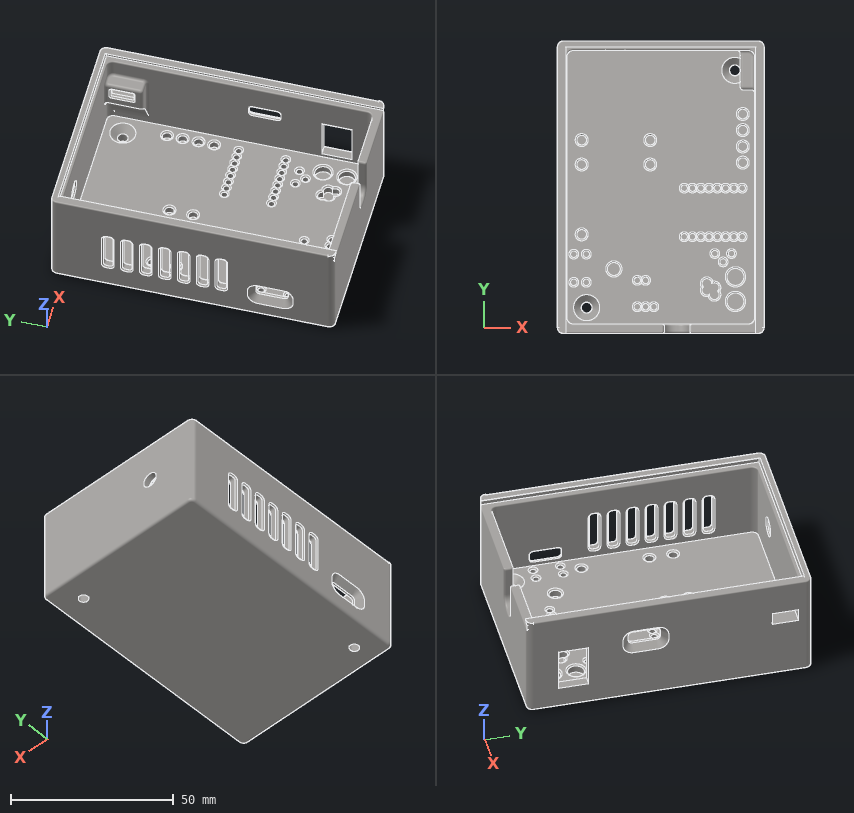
import cadquery as cq
import math

LENGTH = 90.0
WIDTH = 63.6
HEIGHT = 35.0
WALL = 3.0
FLOOR = 6.0
CORNER = 2.0
BASE_EDGE = 1.0
EDGE = 0.495

LEDGE_Z = 32.0
GROOVE_HALF = 30.7
GROOVE_SHOULDER = 33.5
GROOVE_MOUTH = 29.1
GROOVE_END = 43.1

NOTCH_X = 5.0
NOTCH_WIDTH = 7.8
NOTCH_BOTTOM = 18.2
NOTCH_RADIUS = 3.4
NOTCH_EDGE = 0.7

VENT_COUNT = 7
VENT_PITCH = 6.0
VENT_Y = 8.7
VENT_Z = 15.7
VENT_WIDTH = 3.0
VENT_HEIGHT = 14.0
VENT_RADIUS = 1.0

PORT_LENGTH = 10.2
PORT_HEIGHT = 4.2
PORT_RADIUS = 1.215
PORT_FLARE = 2.2
LEFT_PORT_Y, LEFT_PORT_Z = -24.75, 9.5
RIGHT_PORT_Y, RIGHT_PORT_Z = -7.6, 21.4

WINDOW_Y, WINDOW_LENGTH = -30.4, 9.5
WINDOW_Z, WINDOW_HEIGHT = 14.7, 14.4
JACK_X, JACK_Z = -13.95, 19.9
JACK_DIAMETER = 5.2

BOSS_FRONT = 29.9
BOSS_DEPTH = 4.455
BOSS_TOP = 25.7
BOSS_BOTTOM = 17.4
BOSS_FOOT = 8.1
BOSS_EDGE = 1.0

SLOT_Y, SLOT_Z = 36.5, 22.05
SLOT_LENGTH = 7.3
SLOT_HEIGHT = 3.2
SLOT_RADIUS = 0.3
SLOT_PLATE = 1.5
SLOT_GROWTH = 0.495

SCREW_HOLE = 3.2
SCREW_HEAD = 8.0
SCREW_POINTS = [(-22.8, -37.0), (22.8, 35.9)]
RECESS_DEPTH = 3.0
PIN_PITCH = 2.55

inner_x = WIDTH / 2 - WALL
inner_y = LENGTH / 2 - WALL


def pin_row(x, y, count):
    """Centres of a row of pins running along +X from (x, y)."""
    return [(x + i * PIN_PITCH, y) for i in range(count)]


def pin_grid(xs, ys):
    """Centres at every crossing of the given columns and rows."""
    return [(x, y) for x in xs for y in ys]


RECESSES = {
    2.0: (
        pin_row(7.2, -0.3, 8)
        + pin_row(7.2, -15.2, 8)
        + pin_row(-7.2, -28.6, 2)
        + pin_row(-7.2, -36.7, 3)
        + [(16.605, -20.385), (21.735, -20.385), (19.2, -22.95)]
        + pin_grid((-26.7, -22.9), (-20.565, -29.205))
    ),
    3.0: (
        pin_grid((25.2,), (22.5, 17.55, 12.5, 7.6))
        + pin_grid((-24.3, -3.2), (14.5, 6.975))
        + [(-24.3, -14.5)]
        + [(14.175, -29.565), (14.175, -31.635), (16.5, -30.825), (16.5, -33.0)]
    ),
    4.0: [(-14.4, -25.1)],
    5.2: pin_grid((22.95,), (-27.5, -35.1)),
}


def rounded_rect(length, height, radius):
    return cq.Sketch().rect(length, height).vertices().fillet(radius)


def flared_cut(plane, length, height, radius, depth, flare):
    """Rounded opening running along the plane normal, with a 45 degree flare at the plane."""
    throat = rounded_rect(length, height, radius)
    mouth = rounded_rect(length + 2 * flare, height + 2 * flare, radius + flare)
    flare_end = throat.moved(cq.Location((0, 0, flare)))
    bore = cq.Workplane(plane).placeSketch(throat).extrude(depth)
    return bore.union(cq.Workplane(plane).placeSketch(mouth, flare_end).loft())


def countersunk_cut(plane, diameter, depth, flare):
    """Round hole running along the plane normal, with a 45 degree countersink at the plane."""
    radius = diameter / 2
    half_section = [(0, 0), (radius + flare, 0), (radius, flare), (radius, depth), (0, depth)]
    hole = cq.Workplane("XZ").polyline(half_section).close().revolve(360, (0, 0), (0, 1))
    return cq.Workplane(obj=hole.val().moved(plane.location))


def left_wall(y, z):
    """Plane on the outer -X face, pointing into the case."""
    return cq.Plane((-WIDTH / 2, y, z), xDir=(0, 1, 0), normal=(1, 0, 0))


def right_wall(y, z):
    """Plane on the outer +X face, pointing into the case."""
    return cq.Plane((WIDTH / 2, y, z), xDir=(0, 1, 0), normal=(-1, 0, 0))


def floor_top(x, y):
    """Plane on the floor, pointing down into it."""
    return cq.Plane((x, y, FLOOR), xDir=(1, 0, 0), normal=(0, 0, -1))


def make_block():
    """Solid block; its rim is rounded all around except at the front corners, which stay sharp."""
    sharp = (
        cq.Workplane("XY").rect(WIDTH, LENGTH).extrude(HEIGHT)
        .edges("|Z").fillet(CORNER)
        .faces("<Z").edges().fillet(BASE_EDGE)
    )
    front_end = cq.Workplane("XY", origin=(0, -LENGTH / 2, 0)).rect(WIDTH, 2 * CORNER).extrude(HEIGHT)
    return sharp.faces(">Z").edges().fillet(EDGE).union(sharp.intersect(front_end))


def make_groove():
    """Dovetail space for the lid, open at the front and at the top."""
    right_side = [(GROOVE_HALF, LEDGE_Z), (GROOVE_HALF, GROOVE_SHOULDER), (GROOVE_MOUTH, HEIGHT)]
    left_side = [(-x, z) for x, z in reversed(right_side)]
    return (
        cq.Workplane("XZ", origin=(0, GROOVE_END, 0))
        .polyline(right_side + left_side).close()
        .extrude(GROOVE_END + LENGTH / 2)
    )


def make_cavity():
    return (
        cq.Workplane("XY", origin=(0, 0, FLOOR))
        .rect(2 * inner_x, 2 * inner_y).extrude(LEDGE_Z - FLOOR)
        .edges("|Z").fillet(CORNER)
    )


def round_ledge(case):
    """Round the ledge where it meets the cavity and the front face."""
    gap = 0.1
    bottom, top = LEDGE_Z - gap, LEDGE_Z + gap
    cavity_rim = cq.selectors.BoxSelector(
        (-inner_x - gap, -inner_y - gap, bottom), (inner_x + gap, inner_y + gap, top)
    )
    front_edge = cq.selectors.BoxSelector(
        (-WIDTH, -LENGTH / 2 - gap, bottom), (WIDTH, -LENGTH / 2 + gap, top)
    )
    return case.edges(cavity_rim + front_edge).fillet(EDGE)


def cut_notch(case):
    """U-shaped notch from the ledge downward, rounded along both faces of the front wall."""
    height = 2 * (LEDGE_Z - NOTCH_BOTTOM)
    plane = cq.Plane((NOTCH_X, -LENGTH / 2, LEDGE_Z), xDir=(1, 0, 0), normal=(0, 1, 0))
    notch = cq.Workplane(plane).placeSketch(rounded_rect(NOTCH_WIDTH, height, NOTCH_RADIUS)).extrude(WALL)
    case = case.cut(notch)
    reach = NOTCH_WIDTH / 2 + 0.1
    outline = cq.selectors.BoxSelector(
        (NOTCH_X - reach, -LENGTH / 2 - 0.1, NOTCH_BOTTOM - 0.1),
        (NOTCH_X + reach, -inner_y + 0.1, LEDGE_Z - 1.5 * EDGE),
    )
    return case.edges(outline).edges("not |Y").fillet(NOTCH_EDGE)


def add_boss(case):
    """Boss with an arc-shaped underside that is tangent to the wall at its foot."""
    face_x = inner_x - BOSS_DEPTH
    buried_x = inner_x + WALL / 2
    buried_y = inner_y + WALL / 2
    drop = BOSS_BOTTOM - BOSS_FOOT
    radius = (BOSS_DEPTH ** 2 + drop ** 2) / (2 * BOSS_DEPTH)
    half_angle = math.asin(drop / radius) / 2
    arc_middle = (inner_x - radius * (1 - math.cos(half_angle)), BOSS_FOOT + radius * math.sin(half_angle))
    boss = (
        cq.Workplane("XZ", origin=(0, buried_y, 0))
        .moveTo(buried_x, BOSS_FOOT).lineTo(inner_x, BOSS_FOOT)
        .threePointArc(arc_middle, (face_x, BOSS_BOTTOM))
        .lineTo(face_x, BOSS_TOP).lineTo(buried_x, BOSS_TOP).close()
        .extrude(buried_y - BOSS_FRONT)
    )
    gap = 0.1
    boss_edges = cq.selectors.BoxSelector(
        (face_x - gap, BOSS_FRONT - gap, BOSS_BOTTOM - BOSS_DEPTH / 2),
        (inner_x + gap, inner_y + gap, BOSS_TOP + gap),
    )
    return case.union(boss).edges(boss_edges).edges("|Z or >Z or >Y").fillet(BOSS_EDGE)


def cut_boss_slot(case):
    face = cq.Plane((inner_x - BOSS_DEPTH, SLOT_Y, SLOT_Z), xDir=(0, 1, 0), normal=(1, 0, 0))
    window = flared_cut(face, SLOT_LENGTH, SLOT_HEIGHT, SLOT_RADIUS, BOSS_DEPTH, EDGE)
    recess = (
        cq.Workplane(right_wall(SLOT_Y, SLOT_Z))
        .rect(SLOT_LENGTH + 2 * SLOT_GROWTH, SLOT_HEIGHT + 2 * SLOT_GROWTH)
        .extrude(WALL + BOSS_DEPTH - SLOT_PLATE)
    )
    return case.cut(window).cut(recess)


def cut_vents(case):
    for i in range(VENT_COUNT):
        y = VENT_Y + (i - (VENT_COUNT - 1) / 2) * VENT_PITCH
        outer = left_wall(y, VENT_Z)
        inner = cq.Plane((-inner_x, y, VENT_Z), xDir=(0, 1, 0), normal=(-1, 0, 0))
        for plane in (outer, inner):
            case = case.cut(flared_cut(plane, VENT_WIDTH, VENT_HEIGHT, VENT_RADIUS, WALL, EDGE))
    return case


def cut_side_openings(case):
    for plane in (left_wall(LEFT_PORT_Y, LEFT_PORT_Z), right_wall(RIGHT_PORT_Y, RIGHT_PORT_Z)):
        case = case.cut(flared_cut(plane, PORT_LENGTH, PORT_HEIGHT, PORT_RADIUS, WALL, PORT_FLARE))
    window = (
        cq.Workplane(right_wall(WINDOW_Y, WINDOW_Z)).rect(WINDOW_LENGTH, WINDOW_HEIGHT).extrude(WALL)
    )
    back_wall_inside = cq.Plane((JACK_X, inner_y, JACK_Z), xDir=(1, 0, 0), normal=(0, 1, 0))
    return case.cut(window).cut(countersunk_cut(back_wall_inside, JACK_DIAMETER, WALL, EDGE))


def cut_floor(case):
    for diameter, centres in RECESSES.items():
        for x, y in centres:
            case = case.cut(countersunk_cut(floor_top(x, y), diameter, RECESS_DEPTH, EDGE))
    for x, y in SCREW_POINTS:
        head_flare = (SCREW_HEAD - SCREW_HOLE) / 2
        case = case.cut(countersunk_cut(floor_top(x, y), SCREW_HOLE, FLOOR, head_flare))
    return case


result = make_block().cut(make_groove()).cut(make_cavity())
result = add_boss(result)
result = round_ledge(result)
result = cut_notch(result)
result = cut_boss_slot(result)
result = cut_vents(result)
result = cut_side_openings(result)
result = cut_floor(result)